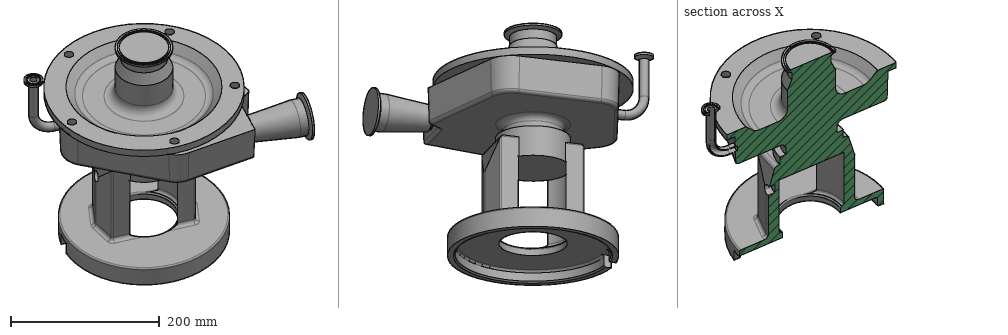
import cadquery as cq
import math

margin = 0.5

base_top = 28.5
collar_bottom = 125.5
leg_top = 154.2
collar_top = 168.0
casing_bottom = 188.0
casing_top = 239.5
flange_top = 250.2
inlet_top = 319.5

base_radius = 115.3
base_edge_fillet = 2.2
base_bore_radius = 46.0
recess_radius = 105.0
recess_height = 17.5
recess_fillet = 3.5
recess_chamfer = 2.2
notch_width = 20.5
notch_overlap = 3.7

leg_width = 77.5
leg_side_y = 59.5
leg_ridge_y = 69.5
leg_ridge_width = 5.2
leg_bore_radius = 51.5
leg_edge_fillet = 2.5
leg_foot_fillet = 5.5
leg_top_fillet = 7.5
slope_top_y = 58.5
slope_bottom = 112.7
leg_hole_radius = 7.5
leg_hole_height = 113.8
leg_hole_depth = 11.0
collar_radius = 50.8
neck_radius = 41.0
neck_fillet = 9.3

sides = 5
side_angle = 360 / sides
apothem = 115.3
corner_radius = 34.5
tight_corner_radius = 5.5
tip_x = 106.0
tip_angle = 9.6
outlet_face_y = 115.0
casing_draft = 1.5
casing_edge_fillet = 5.0

flange_radius = 135.0
bolt_circle_radius = 122.5
bolt_hole_radius = 6.3
dish_radius = 105.0
dish_depth = 16.0
dish_fillet = 15.0

inlet_radius = 39.0
inlet_neck_radius = 32.0
inlet_cone_bottom = 284.5
inlet_cone_top = 300.5
ferrule_rim = 3.0
ferrule_flare = 3.0
inlet_groove_inner_radius = 33.5
inlet_groove_outer_radius = 36.0
groove_depth = 1.0

outlet_x = 91.2
outlet_z = 215.0
outlet_end_y = 199.8
outlet_cone_end_y = 182.0
outlet_flange_radius = 32.5
outlet_radius = 26.0
outlet_root_radius = 18.5
outlet_root_bevel = 3.0

drain_radius = 6.5
drain_bore_radius = 5.0
drain_flange_radius = 13.0
drain_start_y = -118.3
drain_end_y = -158.0
drain_z = 217.2
drain_bend_radius = 28.5
drain_top = 306.2
drain_groove_inner_radius = 8.5
drain_groove_outer_radius = 10.5
drain_rim = 3.5
drain_flare = 3.5


def disc(radius, bottom, top):
    """Cylinder on the main axis between two heights."""
    return cq.Workplane("XY").workplane(offset=bottom).circle(radius).extrude(top - bottom)


def polar(radius, angle):
    """Point at a radius and an angle in degrees."""
    return radius * math.cos(math.radians(angle)), radius * math.sin(math.radians(angle))


def offset_point(centre, radius, angle):
    """Point at a radius and an angle in degrees from a centre."""
    dx, dy = polar(radius, angle)
    return centre[0] + dx, centre[1] + dy


def level_edges(height, reach):
    """Selector for edges lying at one height within a distance of the main axis."""
    return cq.selectors.BoxSelector(
        (-reach - margin, -reach - margin, height - margin),
        (reach + margin, reach + margin, height + margin),
        boundingbox=True,
    )


def revolve_profile(points):
    """Solid of revolution about Z from (radius, height) points."""
    return cq.Workplane("XZ").polyline(points).close().revolve(360, (0, 0, 0), (0, 1, 0))


def make_leg():
    """Front leg: V-shaped outer face whose upper end slopes back to the collar."""
    half_width = leg_width / 2
    half_ridge = leg_ridge_width / 2
    leg = (
        cq.Workplane("XY").workplane(offset=base_top)
        .moveTo(-half_width, 0)
        .lineTo(-half_width, -leg_side_y)
        .lineTo(-half_ridge, -leg_ridge_y)
        .lineTo(half_ridge, -leg_ridge_y)
        .lineTo(half_width, -leg_side_y)
        .lineTo(half_width, 0)
        .close().extrude(leg_top - base_top)
    )
    side_corners = cq.selectors.BoxSelector(
        (-leg_width, -leg_side_y - margin, 0), (leg_width, -leg_side_y + margin, leg_top)
    )
    leg = leg.edges("|Z").edges(side_corners).fillet(leg_edge_fillet)

    side_profile = (
        cq.Workplane("YZ")
        .moveTo(0, 0)
        .lineTo(-leg_ridge_y, 0)
        .lineTo(-leg_ridge_y, slope_bottom)
        .lineTo(-slope_top_y, leg_top)
        .lineTo(0, leg_top)
        .close().extrude(half_width, both=True)
        .faces(">Z").edges("<Y").fillet(leg_top_fillet)
    )
    front_profile = (
        cq.Workplane("XY").box(leg_width, 2 * leg_ridge_y, leg_top, centered=(True, True, False))
        .faces(">Z").edges("|Y").fillet(leg_edge_fillet)
    )
    return leg.intersect(side_profile).intersect(front_profile)


def make_stand():
    """Base disc, two legs and the collar that joins them."""
    leg = make_leg()
    bore = disc(leg_bore_radius, base_top, collar_bottom)
    legs = leg.union(leg.rotate((0, 0, 0), (0, 0, 1), 180)).cut(bore)
    base = disc(base_radius, 0, base_top).faces(">Z").edges().fillet(base_edge_fillet)
    stand = base.union(legs).edges(level_edges(base_top, leg_ridge_y)).fillet(leg_foot_fillet)

    rim_radius = base_bore_radius + base_edge_fillet
    rim_bottom = base_top - base_edge_fillet
    arc_offset = base_edge_fillet * math.sqrt(0.5)
    above_feet = base_top + leg_foot_fillet
    base_bore = (
        cq.Workplane("XZ")
        .lineTo(base_bore_radius, 0)
        .lineTo(base_bore_radius, rim_bottom)
        .threePointArc((rim_radius - arc_offset, rim_bottom + arc_offset), (rim_radius, base_top))
        .lineTo(rim_radius, above_feet)
        .lineTo(0, above_feet)
        .close().revolve(360, (0, 0, 0), (0, 1, 0))
    )
    stand = stand.cut(base_bore)

    bevel_radius = recess_radius + recess_chamfer
    recess = revolve_profile([
        (0, 0),
        (bevel_radius, 0),
        (recess_radius, recess_chamfer),
        (recess_radius, recess_height),
        (0, recess_height),
    ])
    stand = stand.cut(recess.faces(">Z").edges().fillet(recess_fillet))
    notch_length = base_radius - recess_radius + notch_overlap
    notch = cq.Workplane("XY").box(notch_width, notch_length, recess_height, centered=(True, False, False))
    stand = stand.cut(notch.translate((0, -base_radius, 0)))

    leg_hole = (
        cq.Workplane("XZ", origin=(0, -leg_ridge_y, leg_hole_height))
        .circle(leg_hole_radius).extrude(-leg_hole_depth)
    )
    collar = disc(collar_radius, collar_bottom, collar_top)
    return stand.cut(leg_hole).union(collar)


def make_casing():
    """Drafted casing body, widest under the cover flange."""
    centre_distance = (apothem - corner_radius) / math.cos(math.pi / sides)
    tight_distance = (apothem - tight_corner_radius) / math.cos(math.pi / sides)
    half = side_angle / 2
    slant = math.radians(half)
    tip = (tip_x, -(apothem - corner_radius - tip_x * math.cos(slant)) / math.sin(slant))
    tip_end = offset_point(tip, corner_radius, tip_angle)
    outlet_corner_x = tip_end[0] - (outlet_face_y - tip_end[1]) * math.tan(math.radians(tip_angle))
    side_end_x = (apothem - outlet_face_y * math.sin(slant)) / math.cos(slant)

    outline = cq.Workplane("XY").workplane(offset=casing_top).moveTo(outlet_corner_x, outlet_face_y)
    outline = outline.lineTo(side_end_x, outlet_face_y)
    corners = [(side_angle, tight_distance, tight_corner_radius)]
    corners += [(n * side_angle, centre_distance, corner_radius) for n in range(2, sides)]
    for angle, distance, radius in corners:
        centre = polar(distance, angle)
        outline = outline.lineTo(*offset_point(centre, radius, angle - half))
        outline = outline.threePointArc(
            offset_point(centre, radius, angle), offset_point(centre, radius, angle + half)
        )
    outline = outline.lineTo(*offset_point(tip, corner_radius, -half))
    outline = outline.threePointArc(offset_point(tip, corner_radius, 0), tip_end).close()
    casing = outline.extrude(casing_bottom - casing_top, taper=casing_draft)
    return casing.faces("<Z").edges().fillet(casing_edge_fillet)


def make_dish():
    """Ring to cut from the cover: a 45 degree cone and a flat floor, blended by fillets."""
    floor = flange_top - dish_depth
    dish = revolve_profile([
        (inlet_radius, flange_top),
        (dish_radius, flange_top),
        (dish_radius - dish_depth, floor),
        (inlet_radius, floor),
    ])
    return dish.faces("<Z").edges().fillet(dish_fillet)


def gasket_groove(outer_radius, inner_radius, face_height):
    """Ring to cut into the upward face of a ferrule."""
    return disc(outer_radius, face_height - groove_depth, face_height).cut(
        disc(inner_radius, face_height - groove_depth, face_height)
    )


def make_inlet():
    """Inlet pipe on the main axis, narrowed below its ferrule."""
    rim_bottom = inlet_top - ferrule_rim
    inlet = revolve_profile([
        (0, flange_top - dish_depth),
        (inlet_radius, flange_top - dish_depth),
        (inlet_radius, inlet_cone_bottom),
        (inlet_neck_radius, inlet_cone_top),
        (inlet_neck_radius, rim_bottom - ferrule_flare),
        (inlet_radius, rim_bottom),
        (inlet_radius, inlet_top),
        (0, inlet_top),
    ])
    return inlet.cut(gasket_groove(inlet_groove_outer_radius, inlet_groove_inner_radius, inlet_top))


def make_outlet():
    """Outlet cone and flange along +Y."""
    rim_start = outlet_end_y - ferrule_rim
    neck_radius_at_root = outlet_root_radius - outlet_root_bevel
    profile = [
        (0, outlet_face_y - outlet_root_bevel),
        (neck_radius_at_root, outlet_face_y - outlet_root_bevel),
        (neck_radius_at_root, outlet_face_y),
        (outlet_root_radius, outlet_face_y + outlet_root_bevel),
        (outlet_radius, outlet_cone_end_y),
        (outlet_radius, rim_start - ferrule_flare),
        (outlet_flange_radius, rim_start),
        (outlet_flange_radius, outlet_end_y),
        (0, outlet_end_y),
    ]
    return (
        cq.Workplane("XY").polyline(profile).close()
        .revolve(360, (0, 0, 0), (0, 1, 0)).translate((outlet_x, 0, outlet_z))
    )


def drain_run(radius):
    """Round bar along the drain's path: out along -Y, through a bend, then up."""
    bend_start_y = drain_end_y + drain_bend_radius
    bend_end_z = drain_z + drain_bend_radius
    bend_offset = drain_bend_radius * (1 - math.sqrt(0.5))
    path = (
        cq.Workplane("YZ")
        .moveTo(drain_start_y, drain_z)
        .lineTo(bend_start_y, drain_z)
        .threePointArc((drain_end_y + bend_offset, drain_z + bend_offset), (drain_end_y, bend_end_z))
        .lineTo(drain_end_y, drain_top)
    )
    return cq.Workplane("XZ", origin=(0, drain_start_y, drain_z)).circle(radius).sweep(path)


def make_drain():
    """Bent drain pipe with a small ferrule on its upright end."""
    rim_bottom = drain_top - drain_rim
    ferrule = revolve_profile([
        (0, rim_bottom - drain_flare),
        (drain_radius, rim_bottom - drain_flare),
        (drain_flange_radius, rim_bottom),
        (drain_flange_radius, drain_top),
        (0, drain_top),
    ])
    ferrule = ferrule.cut(gasket_groove(drain_groove_outer_radius, drain_groove_inner_radius, drain_top))
    return drain_run(drain_radius).union(ferrule.translate((0, drain_end_y, 0)))


def make_housing():
    """Casing with its neck below and the dished, drilled cover flange on top."""
    neck = disc(neck_radius, collar_top, casing_bottom)
    housing = make_casing().union(neck).edges(level_edges(casing_bottom, neck_radius)).fillet(neck_fillet)
    housing = housing.union(disc(flange_radius, casing_top, flange_top)).cut(make_dish())
    bolt_holes = (
        cq.Workplane("XY").workplane(offset=casing_top)
        .polarArray(bolt_circle_radius, 0, 360, sides).circle(bolt_hole_radius)
        .extrude(flange_top - casing_top)
    )
    return housing.cut(bolt_holes)


result = make_stand().union(make_housing()).union(make_inlet()).union(make_outlet())
result = result.union(make_drain()).cut(drain_run(drain_bore_radius))